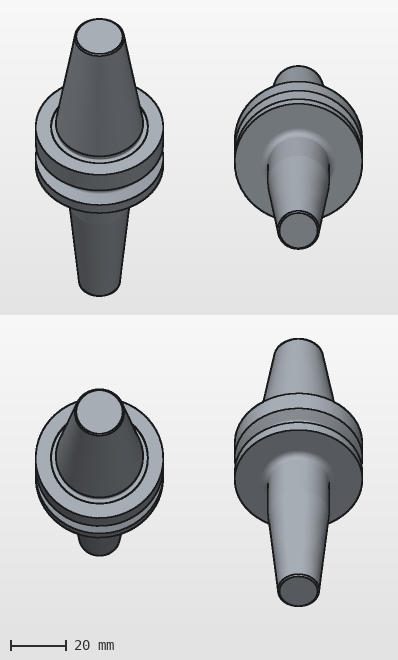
import cadquery as cq
import math


GAUGE_DIAMETER = 31.75
TAPER_RATIO = 7 / 24
TAPER_TOP_Z = 48.4
TAPER_BOTTOM_Z = 0.8
TAPER_TOP_CHAMFER = 0.5

NECK_DIAMETER = 31.3
NECK_TOP_Z = 0.3
NECK_FILLET = 0.4

FLANGE_DIAMETER = 46.0
FLANGE_TOP_Z = -1.0
FLANGE_BOTTOM_Z = -22.0
DISH_DIAMETER = 35.0
DISH_DEPTH = 0.15
GROOVE_CENTRE_Z = -13.6
GROOVE_MOUTH_WIDTH = 8.0
GROOVE_FLOOR_DIAMETER = 38.0
GROOVE_FLANK_ANGLE = 30.0
GROOVE_FILLET = 0.9

NOSE_DIAMETER = 22.0
NOSE_FILLET = 2.5
NOSE_CONE_TOP_Z = -42.0
NOSE_TIP_Z = -86.0
NOSE_TIP_DIAMETER = 14.9
NOSE_TIP_CHAMFER = 0.6

RIM_RADIUS = FLANGE_DIAMETER / 2
DISH_FLOOR_Z = FLANGE_TOP_Z - DISH_DEPTH


def taper_radius(z):
    """Radius of the taper at height z."""
    return (GAUGE_DIAMETER - TAPER_RATIO * z) / 2


def fillet_offset(radius):
    """Distance from the sharp faces of a square corner to the midpoint of its fillet."""
    return radius * (1 - math.sqrt(0.5))


def revolve_profile(profile):
    """Turn a closed (radius, Z) profile a full revolution about Z."""
    return profile.close().revolve(360, (0, 0), (0, 1))


def make_taper():
    """Taper with a chamfered top, down to the filleted neck standing in the flange dish."""
    neck_radius = NECK_DIAMETER / 2
    chamfer_z = TAPER_TOP_Z - TAPER_TOP_CHAMFER
    arc_offset = fillet_offset(NECK_FILLET)
    return revolve_profile(
        cq.Workplane("XZ")
        .moveTo(0, TAPER_TOP_Z)
        .lineTo(taper_radius(TAPER_TOP_Z) - TAPER_TOP_CHAMFER, TAPER_TOP_Z)
        .lineTo(taper_radius(chamfer_z), chamfer_z)
        .lineTo(taper_radius(TAPER_BOTTOM_Z), TAPER_BOTTOM_Z)
        .lineTo(neck_radius, NECK_TOP_Z)
        .lineTo(neck_radius, DISH_FLOOR_Z + NECK_FILLET)
        .threePointArc(
            (neck_radius + arc_offset, DISH_FLOOR_Z + arc_offset),
            (neck_radius + NECK_FILLET, DISH_FLOOR_Z),
        )
        .lineTo(neck_radius + NECK_FILLET, FLANGE_BOTTOM_Z)
        .lineTo(0, FLANGE_BOTTOM_Z)
    )


def make_flange():
    """Flange disc, dished on top, with a trapezoidal gripper groove around its rim."""
    dish_radius = DISH_DIAMETER / 2
    disc = revolve_profile(
        cq.Workplane("XZ")
        .moveTo(0, DISH_FLOOR_Z)
        .lineTo(dish_radius - DISH_DEPTH, DISH_FLOOR_Z)
        .lineTo(dish_radius, FLANGE_TOP_Z)
        .lineTo(RIM_RADIUS, FLANGE_TOP_Z)
        .lineTo(RIM_RADIUS, FLANGE_BOTTOM_Z)
        .lineTo(0, FLANGE_BOTTOM_Z)
    )
    return disc.cut(make_groove_cutter())


def make_groove_cutter():
    """Ring with the groove's trapezoidal section, its two inner edges rounded."""
    floor_radius = GROOVE_FLOOR_DIAMETER / 2
    flank_height = (RIM_RADIUS - floor_radius) * math.tan(math.radians(GROOVE_FLANK_ANGLE))
    half_mouth = GROOVE_MOUTH_WIDTH / 2
    half_floor = half_mouth - flank_height
    ring = revolve_profile(
        cq.Workplane("XZ")
        .moveTo(RIM_RADIUS, GROOVE_CENTRE_Z + half_mouth)
        .lineTo(floor_radius, GROOVE_CENTRE_Z + half_floor)
        .lineTo(floor_radius, GROOVE_CENTRE_Z - half_floor)
        .lineTo(RIM_RADIUS, GROOVE_CENTRE_Z - half_mouth)
    )
    floor_edges = ring.edges(cq.selectors.RadiusNthSelector(0))
    return floor_edges.fillet(GROOVE_FILLET)


def make_nose():
    """Nose below the flange: filleted root, cylinder, cone and chamfered tip."""
    nose_radius = NOSE_DIAMETER / 2
    tip_radius = NOSE_TIP_DIAMETER / 2
    arc_offset = fillet_offset(NOSE_FILLET)
    return revolve_profile(
        cq.Workplane("XZ")
        .moveTo(0, FLANGE_BOTTOM_Z)
        .lineTo(nose_radius + NOSE_FILLET, FLANGE_BOTTOM_Z)
        .threePointArc(
            (nose_radius + arc_offset, FLANGE_BOTTOM_Z - arc_offset),
            (nose_radius, FLANGE_BOTTOM_Z - NOSE_FILLET),
        )
        .lineTo(nose_radius, NOSE_CONE_TOP_Z)
        .lineTo(tip_radius, NOSE_TIP_Z + NOSE_TIP_CHAMFER)
        .lineTo(tip_radius - NOSE_TIP_CHAMFER, NOSE_TIP_Z)
        .lineTo(0, NOSE_TIP_Z)
    )


result = make_flange().union(make_taper()).union(make_nose())